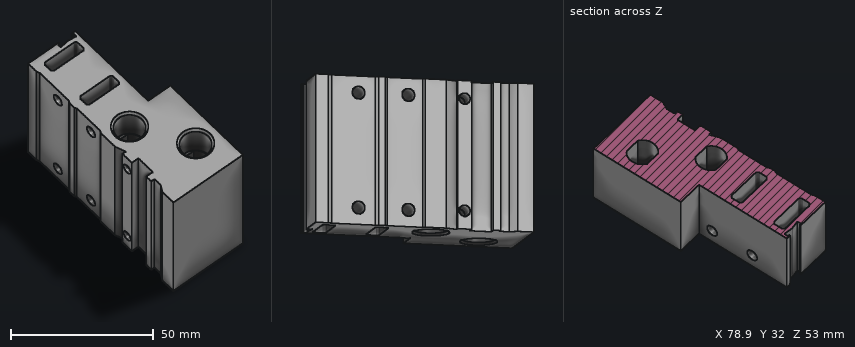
import cadquery as cq
import math

length = 78.9
depth = 32.0
height = 53.0
thin_depth = 21.8
step_x = 39.5

relief_depth = 0.5
reliefs = [
    (4.6, 5.9, 21.6, 22.7),
    (25.1, 25.9, 38.7, 39.5),
]

notch_depth = 1.5
left_notch_start_x = 47.2
left_notch_wall_x = 51.25
groove_start_x = 56.35
groove_end_x = 64.15
groove_depth = 3.0
right_notch_wall_x = 66.85
right_notch_ramp_x = 70.3
right_notch_end_x = 72.95

t_slot_y = 16.95
t_slot_opening = 5.9
t_slot_width = 7.1
t_slot_lip = 0.5
t_slot_depth = 2.0
t_slot_ridge_depth = 1.5

window_x = [5.9, 25.1]
window_y = 11.65
window_width = 4.8
window_length = 15.0
window_corner_radius = 1.0

port_centers = [(43.9, 9.5), (64.4, 22.5)]
port_diameter = 11.45
port_mouth_diameter = 13.16
port_depth = 12.0
channel_diameter = 11.0
channel_width = 9.1

mount_hole_x = [15.6, 33.6]
mount_hole_diameter = 4.5
mount_hole_inset = 6.0
screw_hole_x = (left_notch_wall_x + groove_start_x) / 2
screw_hole_diameter = 3.95
screw_hole_inset = 6.5
screw_hole_depth = 8.0
drill_point_angle = 118.0


def make_body():
    """Stepped block with the relief, notch and groove profile along its front face."""
    outline = [(0, 0)]
    for ramp_in, floor_start, floor_end, ramp_out in reliefs:
        outline += [(ramp_in, 0), (floor_start, relief_depth), (floor_end, relief_depth), (ramp_out, 0)]
    outline += [
        (left_notch_start_x, 0),
        (left_notch_wall_x, notch_depth),
        (left_notch_wall_x, 0),
        (groove_start_x, 0),
        (groove_start_x, groove_depth),
        (groove_end_x, groove_depth),
        (groove_end_x, 0),
        (right_notch_wall_x, 0),
        (right_notch_wall_x, notch_depth),
        (right_notch_ramp_x, notch_depth),
        (right_notch_end_x, 0),
        (length, 0),
        (length, depth),
        (step_x, depth),
        (step_x, thin_depth),
        (0, thin_depth),
    ]
    return cq.Workplane("XY").polyline(outline).close().extrude(height)


def make_t_slot():
    """Full-height cutter for the T-slot."""
    half_opening = t_slot_opening / 2
    half_width = t_slot_width / 2
    outline = [
        (0, t_slot_y - half_opening),
        (t_slot_lip, t_slot_y - half_opening),
        (t_slot_lip, t_slot_y - half_width),
        (t_slot_depth, t_slot_y - half_width),
        (t_slot_ridge_depth, t_slot_y),
        (t_slot_depth, t_slot_y + half_width),
        (t_slot_lip, t_slot_y + half_width),
        (t_slot_lip, t_slot_y + half_opening),
        (0, t_slot_y + half_opening),
    ]
    return cq.Workplane("XY").polyline(outline).close().extrude(height)


def make_window(x):
    """Full-height rectangular cutter with rounded corners."""
    window = cq.Workplane("XY").center(x, window_y).rect(window_width, window_length).extrude(height)
    return window.edges("|Z").fillet(window_corner_radius)


def make_port(x, y):
    """Port bored from both ends, each with a 45 degree mouth, joined by a flat-sided channel."""
    mouth_depth = (port_mouth_diameter - port_diameter) / 2
    channel = cq.Workplane("XY").circle(channel_diameter / 2).extrude(height)
    channel = channel.intersect(cq.Workplane("XY").rect(channel_width, channel_diameter).extrude(height))
    half_profile = [
        (0, height),
        (port_mouth_diameter / 2, height),
        (port_diameter / 2, height - mouth_depth),
        (port_diameter / 2, height - port_depth),
        (0, height - port_depth),
    ]
    top_bore = cq.Workplane("XZ").polyline(half_profile).close().revolve(360, (0, 0, 0), (0, 1, 0))
    bottom_bore = top_bore.mirror("XY", (0, 0, height / 2))
    return channel.union(top_bore).union(bottom_bore).translate((x, y, 0))


def make_mount_hole(x, z):
    """Round cutter through the wing along Y."""
    hole = cq.Workplane("XZ").center(x, z).circle(mount_hole_diameter / 2)
    return hole.extrude(-thin_depth)


def make_screw_hole(x, z):
    """Blind hole along +Y with a conical drill point."""
    radius = screw_hole_diameter / 2
    point_length = radius / math.tan(math.radians(drill_point_angle / 2))
    half_profile = [
        (0, 0),
        (radius, 0),
        (radius, screw_hole_depth),
        (0, screw_hole_depth + point_length),
    ]
    hole = cq.Workplane("XY").polyline(half_profile).close().revolve(360, (0, 0, 0), (0, 1, 0))
    return hole.translate((x, 0, z))


result = make_body().cut(make_t_slot())

for x in window_x:
    result = result.cut(make_window(x))

for x, y in port_centers:
    result = result.cut(make_port(x, y))

for x in mount_hole_x:
    for z in (mount_hole_inset, height - mount_hole_inset):
        result = result.cut(make_mount_hole(x, z))

for z in (screw_hole_inset, height - screw_hole_inset):
    result = result.cut(make_screw_hole(screw_hole_x, z))